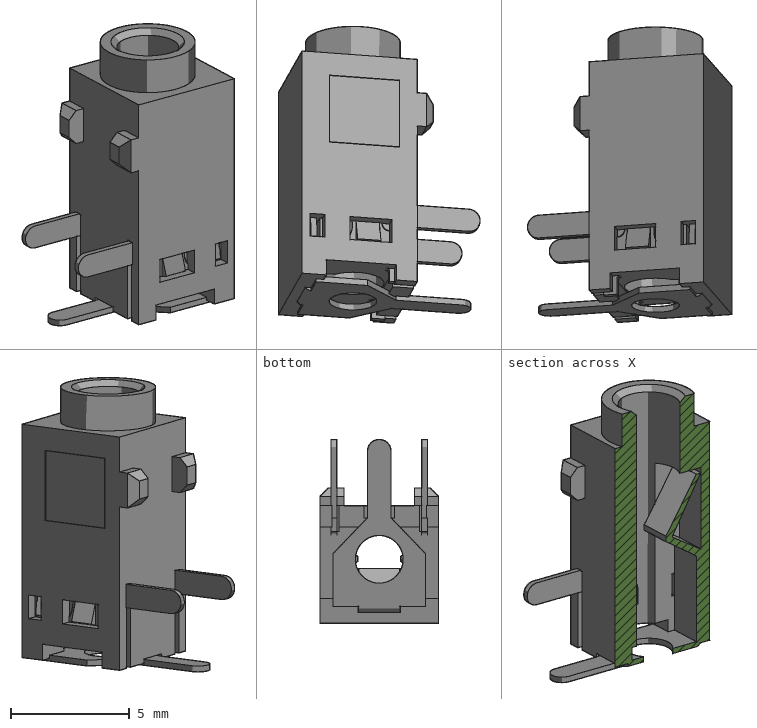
import cadquery as cq


body_width = 5.0
body_depth = 4.95
back_y = 2.7
front_y = back_y - body_depth
side_x = body_width / 2
body_bottom = 0.13
body_top = 10.14
collar_diameter = 4.0
collar_top = 11.63

bore_diameter = 2.6
bore_chamfer = 0.25
plate_hole_diameter = 2.0

peg_size_z = 1.5
peg_width = 1.02
peg_length = 0.76
peg_chamfer = 0.36
peg_drop = 1.5
peg_top = body_top - peg_drop

recess_size = 3.0
recess_y = 0.01
recess_z = 7.64
recess_depth = 0.05

notch_front = -1.36
notch_back = 1.65
notch_top = 0.81

metal = 0.26
terminal_width = 1.0
terminal_tip = -5.05

plate_half_width = 1.95
plate_taper_start = -0.23
plate_taper_end = -1.75
plate_back = 1.98
plate_relief_width = 1.3
plate_relief_top = 0.31

leaf_width = 1.75
leaf_tip_y = 0.38
leaf_bend_z = 4.42
leaf_tip_z = 5.35
leaf_lip = 0.1
leaf_top_z = 7.91
cavity_width = 1.77
cavity_top = 8.14

slot_inner_x = 1.7
slot_outer_x = 1.99
slot_top = 3.71
contact_outer_x = 2.04
contact_front = -1.75
contact_back = -1.16
contact_flare = 0.14
left_contact_bottom = 0.23
left_terminal_top = 3.75
right_contact_bottom = 0.0
right_terminal_top = 3.71

window_front = -1.16
window_back = 0.63
window_bottom = 1.8
window_top = 2.84
window_depth = 0.48
tab_front = -0.72
tab_back = 0.28
tab_height = 0.33
tab_crest_z = 1.92
tab_knee_z = 2.66
tab_knee_height = 0.06
corner_depth = 0.06
front_corner_radius = 0.33
back_corner_width = 0.17
back_corner_height = 0.79

vent_front = 1.72
vent_back = 2.35
vent_bottom = 1.84
vent_top = 2.85
vent_tab_front = 1.98
vent_tab_back = 2.23
vent_crest_z = 1.95
vent_tab_height = 0.12
slit_front = 1.84

bump_base_width = 0.77
bump_tip_width = 0.21
bump_reach = 0.9
bump_height = 0.77
bump_bevel = 0.08
bump_root = 0.02
bump_y = -0.02
bump_z = 2.3


def box(x0, x1, y0, y1, z0, z1):
    """Axis-aligned block between opposite corners."""
    return cq.Workplane("XY").box(x1 - x0, y1 - y0, z1 - z0, centered=False).translate((x0, y0, z0))


def mirrored(left):
    """The given left-hand shape together with its right-hand twin."""
    return left.union(left.mirror("YZ"))


def housing():
    """Block and collar with the chamfered bore through both."""
    block = box(-side_x, side_x, front_y, back_y, body_bottom, body_top)
    collar = (
        cq.Workplane("XY", origin=(0, 0, body_top))
        .circle(collar_diameter / 2)
        .extrude(collar_top - body_top)
    )
    bore = cq.Workplane("XY").circle(bore_diameter / 2).extrude(collar_top)
    mouth_radius = bore_diameter / 2 + bore_chamfer
    mouth = cq.Workplane(
        cq.Solid.makeCone(bore_diameter / 2, mouth_radius, bore_chamfer)
    ).translate((0, 0, collar_top - bore_chamfer))
    return block.union(collar).cut(bore).cut(mouth)


def left_peg():
    """Peg with its tip bevelled on the outer, upper and lower edges."""
    tip_y = front_y - peg_length
    peg = box(-side_x, -side_x + peg_width, tip_y, front_y, peg_top - peg_size_z, peg_top)
    return peg.faces("<Y").edges("<X or >Z or <Z").chamfer(peg_chamfer)


def side_recess():
    """Square recess, left side only."""
    half = recess_size / 2
    return box(
        -side_x, -side_x + recess_depth, recess_y - half, recess_y + half, recess_z - half, recess_z + half
    )


def left_window():
    """Pocket in the side wall, a little deeper in its two rounded upper corners."""
    floor_x = -side_x + window_depth
    pocket = box(-side_x, floor_x, window_front, window_back, window_bottom, window_top)
    front_corner = (
        cq.Workplane("YZ", origin=(floor_x, window_front, window_top))
        .lineTo(front_corner_radius, 0)
        .radiusArc((0, -front_corner_radius), front_corner_radius)
        .close()
        .extrude(corner_depth)
    )
    back_corner = (
        cq.Workplane("YZ", origin=(floor_x, window_back, window_top))
        .lineTo(-back_corner_width, 0)
        .threePointArc((-back_corner_width, -back_corner_height / 2), (0, -back_corner_height))
        .close()
        .extrude(corner_depth)
    )
    return pocket.union(front_corner).union(back_corner)


def left_tab(front, back, profile):
    """Latch tab on the floor of a side window; the profile lists (height above floor, Z) going up."""
    root_x = -side_x + window_depth + corner_depth
    points = [(-side_x + window_depth - height, z) for height, z in profile]
    return (
        cq.Workplane("XZ", origin=(0, back, 0))
        .moveTo(root_x, profile[0][1])
        .polyline(points, includeCurrent=True)
        .lineTo(root_x, profile[-1][1])
        .close()
        .extrude(back - front)
    )


def window_tab():
    """Steep tab with a knee near its top."""
    profile = [(0, window_bottom), (tab_height, tab_crest_z), (tab_knee_height, tab_knee_z), (0, window_top)]
    return left_tab(tab_front, tab_back, profile)


def vent_tab():
    """Narrow tab with a single slope."""
    profile = [(0, vent_bottom), (vent_tab_height, vent_crest_z), (0, vent_top)]
    return left_tab(vent_tab_front, vent_tab_back, profile)


def vents():
    """Small pockets in both sides joined by the slit."""
    pocket = box(-side_x, -side_x + window_depth, vent_front, vent_back, vent_bottom, vent_top)
    slit = box(-side_x, side_x, slit_front, vent_tab_front, vent_bottom, vent_top)
    return mirrored(pocket).union(slit)


def base_plate():
    """Flat plate that tapers at the front into the round-ended centre terminal."""
    half = terminal_width / 2
    return (
        cq.Workplane("XY")
        .moveTo(-plate_half_width, plate_back)
        .lineTo(-plate_half_width, plate_taper_start)
        .lineTo(-half, plate_taper_end)
        .lineTo(-half, terminal_tip + half)
        .threePointArc((0, terminal_tip), (half, terminal_tip + half))
        .lineTo(half, plate_taper_end)
        .lineTo(plate_half_width, plate_taper_start)
        .lineTo(plate_half_width, plate_back)
        .close()
        .extrude(metal)
        .cut(cq.Workplane("XY").circle(plate_hole_diameter / 2).extrude(metal))
    )


def spring_leaf():
    """Strip bent up from the back of the base plate, with a V pointing into the bore."""
    outer_y = plate_back + metal
    return (
        cq.Workplane("YZ", origin=(-leaf_width / 2, 0, 0))
        .moveTo(plate_back, 0)
        .radiusArc((outer_y, metal), -metal)
        .lineTo(outer_y, leaf_bend_z)
        .lineTo(leaf_tip_y + leaf_lip + metal, leaf_tip_z)
        .lineTo(outer_y, leaf_top_z)
        .lineTo(plate_back, leaf_top_z)
        .lineTo(leaf_tip_y + leaf_lip, leaf_tip_z + metal)
        .lineTo(leaf_tip_y, leaf_tip_z + metal / 2)
        .lineTo(leaf_tip_y, leaf_tip_z - metal / 2)
        .lineTo(plate_back, leaf_bend_z - metal)
        .close()
        .extrude(leaf_width)
    )


def side_contact(inner_x, bottom, top):
    """Upright plate in a side slot with a round-ended terminal reaching forward."""
    radius = terminal_width / 2
    return (
        cq.Workplane("YZ", origin=(inner_x, 0, 0))
        .moveTo(contact_back, bottom)
        .lineTo(contact_back, notch_top - contact_flare)
        .radiusArc((contact_back + contact_flare, notch_top), contact_flare)
        .lineTo(contact_back, notch_top)
        .lineTo(contact_back, top)
        .lineTo(terminal_tip + radius, top)
        .threePointArc((terminal_tip, top - radius), (terminal_tip + radius, top - terminal_width))
        .lineTo(contact_front, top - terminal_width)
        .lineTo(contact_front, bottom)
        .close()
        .extrude(metal)
    )


def left_bump():
    """Flat-sided contact bump that narrows toward the bore axis, with a bevelled top edge."""
    root_x = bore_diameter / 2 + bump_root
    base = bump_base_width / 2
    tip = bump_tip_width / 2
    bump = (
        cq.Workplane("XY", origin=(0, bump_y, bump_z - bump_height / 2))
        .moveTo(-root_x, -base)
        .lineTo(-bump_reach, -tip)
        .lineTo(-bump_reach, tip)
        .lineTo(-root_x, base)
        .close()
        .extrude(bump_height)
    )
    return bump.faces(">Z").edges("not <X").chamfer(bump_bevel)


def right_bump():
    """Round contact bump on the bore wall that tapers toward the bore axis."""
    root_x = bore_diameter / 2 + bump_root
    cone = cq.Solid.makeCone(
        bump_base_width / 2,
        bump_tip_width / 2,
        root_x - bump_reach,
        cq.Vector(root_x, bump_y, bump_z),
        cq.Vector(-1, 0, 0),
    )
    return cq.Workplane(cone)


left_slot = box(-slot_outer_x, -slot_inner_x, front_y, contact_back, body_bottom, slot_top)
notch = box(-side_x, side_x, notch_front, notch_back, body_bottom, notch_top)
plate_relief = box(
    -plate_relief_width / 2, plate_relief_width / 2, front_y, plate_taper_end, body_bottom, plate_relief_top
)
leaf_cavity = box(-cavity_width / 2, cavity_width / 2, 0, plate_back + metal, body_bottom, cavity_top)

result = housing().union(mirrored(left_peg()))
for opening in (
    side_recess(), mirrored(left_window()), vents(), mirrored(left_slot), notch, plate_relief, leaf_cavity
):
    result = result.cut(opening)

for metal_part in (
    mirrored(window_tab()),
    mirrored(vent_tab()),
    base_plate(),
    spring_leaf(),
    side_contact(-contact_outer_x, left_contact_bottom, left_terminal_top),
    side_contact(contact_outer_x - metal, right_contact_bottom, right_terminal_top),
    left_bump(),
    right_bump(),
):
    result = result.union(metal_part)